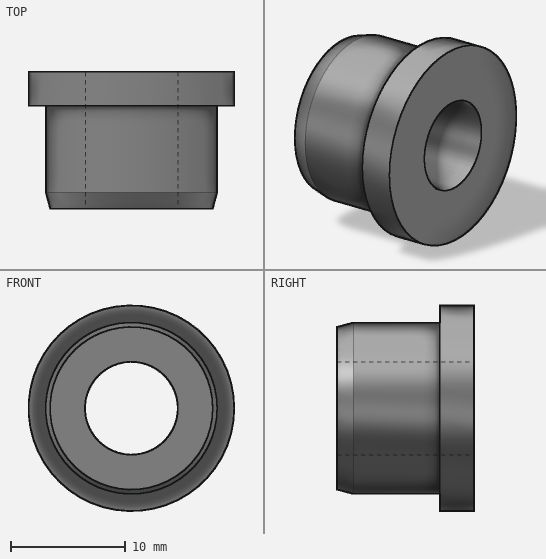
import cadquery as cq
import math

flange_radius = 18 / 2
flange_thickness = 3.0
total_length = 12.0
body_radius = 15.0 / 2
bore_radius = 8.1 / 2

lead_in_length = 1.44
lead_in_angle = 15
tip_radius = body_radius - lead_in_length * math.tan(math.radians(lead_in_angle))

shoulder_y = total_length - flange_thickness

half_section = (
    cq.Workplane("XY")
    .moveTo(bore_radius, 0)
    .lineTo(tip_radius, 0)
    .lineTo(body_radius, lead_in_length)
    .lineTo(body_radius, shoulder_y)
    .lineTo(flange_radius, shoulder_y)
    .lineTo(flange_radius, total_length)
    .lineTo(bore_radius, total_length)
    .close()
)

result = half_section.revolve(360, (0, 0, 0), (0, 1, 0))